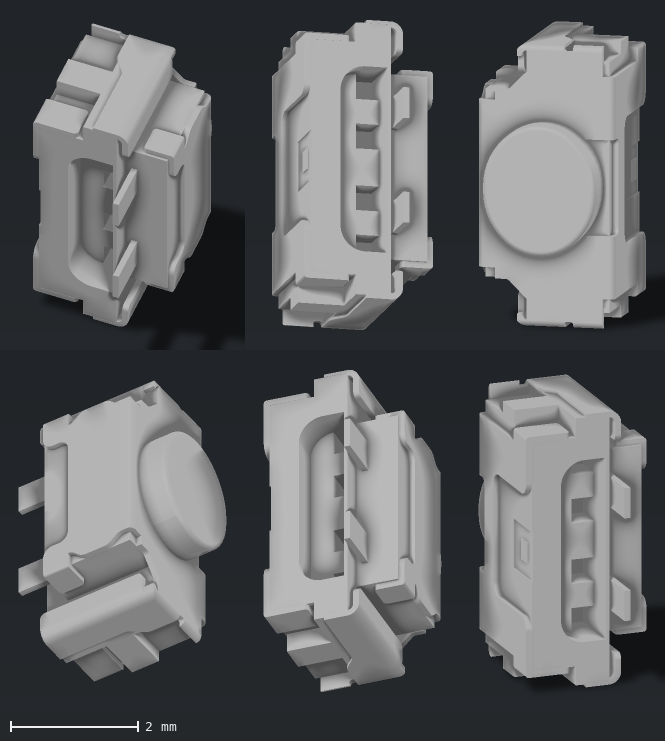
import cadquery as cq


SHEET = 0.1
WIDTH = 2.2
HEIGHT = 4.5
BODY_DEPTH = 2.0
PUSH_TRAVEL = 0.505
PIN_LENGTH = 0.4
COVER_LEAD = 0.005

HALF_HEIGHT = HEIGHT / 2
COVER_BACK = BODY_DEPTH + SHEET
EDGE_ROUND = 0.2
TAB_CORNER = 0.065
TAB_BEND = 0.05

BODY_LEFT = SHEET
BODY_RIGHT = 1.405
BODY_TOP = HALF_HEIGHT - SHEET / 2
STEP_RIGHT = WIDTH - SHEET
STEP_TOP = 1.5
STEP_FRONT = 0.4
POCKET_RIGHT = 0.84
FRONT_POCKET_FLOOR = 1.885
FRONT_POCKET_DEPTH = 0.75
REAR_POCKET_FLOOR = 2.0
REAR_POCKET_START = 1.25

CAVITY_LEFT = 0.59
CAVITY_RIGHT = 1.35
CAVITY_TOP = STEP_TOP
CAVITY_DEPTH = 0.525
CAVITY_CORNER = 0.4
CELL_LEFT = 0.97
CELL_HEIGHT = 0.4
CELL_DEPTH = 1.0
INNER_CELL_MIDDLE = 0.5
OUTER_CELL_MIDDLE = CAVITY_TOP - CELL_HEIGHT / 2

MARK_SINK = 0.022
MARK_DEPTH = 0.8
MARK_HEIGHT = 0.81
PAD_FRONT = 0.22
PAD_BACK = 0.475
PAD_HEIGHT = 0.34

LEFT_WALL_TOP = 1.77
LEFT_WINDOW_BACK = 1.4
LEFT_WINDOW_TOP = 1.012
LEFT_TAB_DEPTH = 0.53
LEFT_TAB_END = 0.74
BUTTON_NOTCH_TOP = 0.77
BUTTON_NOTCH_FRONT = 1.795
BUTTON_NOTCH_RIGHT = 0.485

RIGHT_TAB_FRONT = 0.44
RIGHT_TAB_BACK = 0.9
RIGHT_TAB_START = 1.688
RIGHT_WINDOW_TOP = 1.045
RIGHT_WINDOW_ROUND = 0.17
RIGHT_WALL_TOP = 1.508
RIGHT_NECK_TOP = 1.33
BUMP_START = 0.965
BUMP_END = 1.845
BUMP_RUN = 0.2

BACK_EDGE = 1.418
GUSSET_RISE = 0.3
RELIEF_START = 1.925
STUB_LEFT = 0.19
STUB_RIGHT = 0.665
STUB_ROUND = 0.04

PLATE_REAR_LEFT = 0.81
PLATE_FRONT_LEFT = 1.012
PLATE_SLOPE_BACK = 1.51
PLATE_SLOPE_FRONT = 1.255
ARM_RIGHT = BODY_RIGHT + EDGE_ROUND
ARM_END = 1.755
ARM_BACK = 1.9
ARM_CORNER = 0.095
CURL_REAR_RIGHT = 1.57

BUTTON_MIDDLE = WIDTH / 2
BUTTON_HALF_WIDTH = 0.91
BUTTON_FLAT = 0.045
BUTTON_JOIN_X = 0.495
BUTTON_JOIN_Z = 0.878
BUTTON_ROUND = 0.075

PIN_MIDDLE = 0.845
PIN_HEIGHT = 0.5

SELECT_MARGIN = 0.022


def block(x0, x1, y0, y1, z0, z1):
    """Box between two opposite corners."""
    return cq.Workplane("XY").box(x1 - x0, y1 - y0, z1 - z0, centered=False).translate((x0, y0, z0))


def both_ends(shape):
    """Shape together with its mirror image below Z = 0."""
    return shape.union(shape.mirror("XY"))


def along_x(x0):
    """Sketch plane at x0 for Y-Z outlines."""
    return cq.Workplane("YZ", origin=(x0, 0, 0))


def along_y(y0):
    """Sketch plane at y0 for X-Z outlines; a negative extrusion goes toward +Y."""
    return cq.Workplane("XZ", origin=(0, y0, 0))


def edges_between(low, high):
    """Selector for the edges centred within the box between two corners, grown a little."""
    grown_low = tuple(value - SELECT_MARGIN for value in low)
    grown_high = tuple(value + SELECT_MARGIN for value in high)
    return cq.selectors.BoxSelector(grown_low, grown_high)


def front_cavity():
    cavity = block(CAVITY_LEFT, CAVITY_RIGHT, 0, CAVITY_DEPTH, -CAVITY_TOP, CAVITY_TOP)
    cavity = cavity.edges("|Y and <X").fillet(CAVITY_CORNER)
    for middle in (INNER_CELL_MIDDLE, OUTER_CELL_MIDDLE):
        bottom = middle - CELL_HEIGHT / 2
        cell = block(CELL_LEFT, CAVITY_RIGHT, 0, CELL_DEPTH, bottom, bottom + CELL_HEIGHT)
        cavity = cavity.union(both_ends(cell))
    return cavity


def housing():
    body = block(BODY_LEFT, BODY_RIGHT, COVER_LEAD, BODY_DEPTH, -BODY_TOP, BODY_TOP)
    body = body.union(block(BODY_RIGHT, STEP_RIGHT, STEP_FRONT, BODY_DEPTH, -STEP_TOP, STEP_TOP))
    front_pocket = block(BODY_LEFT, POCKET_RIGHT, 0, FRONT_POCKET_DEPTH, FRONT_POCKET_FLOOR, HALF_HEIGHT)
    rear_pocket = block(
        BODY_LEFT, POCKET_RIGHT, REAR_POCKET_START, BODY_DEPTH, REAR_POCKET_FLOOR, HALF_HEIGHT
    )
    body = body.cut(both_ends(front_pocket)).cut(both_ends(rear_pocket)).cut(front_cavity())
    mark_right = BODY_LEFT + MARK_SINK
    mark = block(BODY_LEFT, mark_right, 0, MARK_DEPTH, -MARK_HEIGHT / 2, MARK_HEIGHT / 2)
    pad = block(BODY_LEFT, mark_right, PAD_FRONT, PAD_BACK, -PAD_HEIGHT / 2, PAD_HEIGHT / 2)
    return body.cut(mark.cut(pad))


def flared_window(x0, x1, front, back, top, radius):
    """Window open to the front, with round inner corners and a flared mouth."""
    outline = (
        along_x(x0)
        .moveTo(front, -top - radius)
        .radiusArc((front + radius, -top), radius)
        .lineTo(back - radius, -top)
        .radiusArc((back, -top + radius), -radius)
        .lineTo(back, top - radius)
        .radiusArc((back - radius, top), -radius)
        .lineTo(front + radius, top)
        .radiusArc((front, top + radius), radius)
        .close()
    )
    return outline.extrude(x1 - x0)


def folded_strip(x0, x1, y0, y1, half_height, outer_edges, tab_edges):
    """Solid envelope of a side wall whose top and bottom ends fold inward as tabs."""
    strip = block(x0, x1, y0, y1, -half_height, half_height)
    return strip.edges(outer_edges).fillet(TAB_BEND).edges(tab_edges).fillet(TAB_CORNER)


def left_wall():
    wall = block(0, SHEET, 0, COVER_BACK, -LEFT_WALL_TOP, LEFT_WALL_TOP)
    tab_top = FRONT_POCKET_FLOOR + SHEET
    strip = folded_strip(0, LEFT_TAB_END, 0, LEFT_TAB_DEPTH, tab_top, "|Y and <X", "|Z and >X")
    inside = block(SHEET, LEFT_TAB_END, 0, LEFT_TAB_DEPTH, -FRONT_POCKET_FLOOR, FRONT_POCKET_FLOOR)
    window = flared_window(0, SHEET, 0, LEFT_WINDOW_BACK, LEFT_WINDOW_TOP, EDGE_ROUND)
    return wall.union(strip.cut(inside)).cut(window)


def right_wall():
    upper_half = (
        along_x(STEP_RIGHT)
        .moveTo(RIGHT_TAB_FRONT, 0)
        .lineTo(RIGHT_TAB_FRONT, RIGHT_NECK_TOP)
        .lineTo(BUMP_START, RIGHT_NECK_TOP)
        .lineTo(BUMP_START + BUMP_RUN, RIGHT_WALL_TOP)
        .lineTo(BUMP_END - BUMP_RUN, RIGHT_WALL_TOP)
        .lineTo(BUMP_END, RIGHT_NECK_TOP)
        .lineTo(COVER_BACK, RIGHT_NECK_TOP)
        .lineTo(COVER_BACK, 0)
        .close()
        .extrude(SHEET)
    )
    bump = edges_between((STEP_RIGHT, BUMP_START, RIGHT_NECK_TOP), (WIDTH, BUMP_END, RIGHT_WALL_TOP))
    upper_half = upper_half.edges("|X").edges(bump).fillet(EDGE_ROUND)
    tab_top = STEP_TOP + SHEET
    strip = folded_strip(
        RIGHT_TAB_START, WIDTH, RIGHT_TAB_FRONT, RIGHT_TAB_BACK, tab_top, "|Y and >X", "|Z and <X"
    )
    inside = block(RIGHT_TAB_START, STEP_RIGHT, RIGHT_TAB_FRONT, RIGHT_TAB_BACK, -STEP_TOP, STEP_TOP)
    window = flared_window(
        STEP_RIGHT, WIDTH, RIGHT_TAB_FRONT, RIGHT_TAB_BACK, RIGHT_WINDOW_TOP, RIGHT_WINDOW_ROUND
    )
    return both_ends(upper_half).union(strip.cut(inside)).cut(window)


def back_wall():
    gusset_right = BACK_EDGE + GUSSET_RISE
    notch_floor = HALF_HEIGHT - SHEET
    upper_half = (
        along_y(BODY_DEPTH)
        .moveTo(0, 0)
        .lineTo(0, LEFT_WALL_TOP)
        .lineTo(STUB_LEFT, LEFT_WALL_TOP)
        .lineTo(STUB_LEFT, HALF_HEIGHT)
        .lineTo(STUB_RIGHT, HALF_HEIGHT)
        .lineTo(STUB_RIGHT, notch_floor)
        .lineTo(PLATE_REAR_LEFT, notch_floor)
        .lineTo(PLATE_REAR_LEFT, HALF_HEIGHT)
        .lineTo(BACK_EDGE, HALF_HEIGHT)
        .lineTo(BACK_EDGE, RIGHT_WALL_TOP + GUSSET_RISE)
        .lineTo(gusset_right, RIGHT_WALL_TOP)
        .lineTo(RELIEF_START, RIGHT_WALL_TOP)
        .lineTo(RELIEF_START, RIGHT_NECK_TOP)
        .lineTo(WIDTH, RIGHT_NECK_TOP)
        .lineTo(WIDTH, 0)
        .close()
        .extrude(-SHEET)
    )
    notch_corners = edges_between(
        (STUB_RIGHT, BODY_DEPTH, notch_floor), (PLATE_REAR_LEFT, COVER_BACK, notch_floor)
    )
    gusset_corner = edges_between(
        (gusset_right, BODY_DEPTH, RIGHT_WALL_TOP), (gusset_right, COVER_BACK, RIGHT_WALL_TOP)
    )
    upper_half = upper_half.edges("|Y").edges(notch_corners).fillet(STUB_ROUND)
    upper_half = upper_half.edges("|Y").edges(gusset_corner).fillet(SHEET)
    return both_ends(upper_half)


def end_plate():
    """Upper plate: flat over the housing, then curled round into an arm on the right."""
    bend_z = HALF_HEIGHT - EDGE_ROUND
    inner_top = HALF_HEIGHT - SHEET
    bend_inner = EDGE_ROUND - SHEET
    plate = (
        along_y(0)
        .moveTo(PLATE_REAR_LEFT, HALF_HEIGHT)
        .lineTo(BODY_RIGHT, HALF_HEIGHT)
        .radiusArc((ARM_RIGHT, bend_z), EDGE_ROUND)
        .lineTo(ARM_RIGHT, ARM_END)
        .lineTo(ARM_RIGHT - SHEET, ARM_END)
        .lineTo(ARM_RIGHT - SHEET, bend_z)
        .radiusArc((BODY_RIGHT, inner_top), -bend_inner)
        .lineTo(BODY_RIGHT, BODY_TOP)
        .lineTo(PLATE_REAR_LEFT, BODY_TOP)
        .close()
        .extrude(-COVER_BACK)
    )
    plate = plate.cut(block(CURL_REAR_RIGHT, ARM_RIGHT, ARM_BACK, COVER_BACK, ARM_END, HALF_HEIGHT))
    plate = plate.cut(block(BODY_RIGHT, ARM_RIGHT, ARM_BACK, COVER_BACK, ARM_END, bend_z))
    plate = plate.edges("|X and <Z").fillet(ARM_CORNER)
    corner_cut = (
        cq.Workplane("XY", origin=(0, 0, BODY_TOP))
        .moveTo(PLATE_REAR_LEFT, 0)
        .lineTo(PLATE_FRONT_LEFT, 0)
        .lineTo(PLATE_FRONT_LEFT, PLATE_SLOPE_FRONT)
        .lineTo(PLATE_REAR_LEFT, PLATE_SLOPE_BACK)
        .close()
        .extrude(HALF_HEIGHT - BODY_TOP)
    )
    plate = plate.cut(corner_cut)
    slope_ends = edges_between(
        (PLATE_REAR_LEFT, PLATE_SLOPE_FRONT, BODY_TOP), (PLATE_FRONT_LEFT, PLATE_SLOPE_BACK, HALF_HEIGHT)
    )
    return plate.edges("|Z").edges(slope_ends).fillet(EDGE_ROUND)


def cover():
    shell = left_wall().union(right_wall()).union(back_wall()).union(both_ends(end_plate()))
    notch = block(0, BUTTON_NOTCH_RIGHT, BUTTON_NOTCH_FRONT, COVER_BACK, -BUTTON_NOTCH_TOP, BUTTON_NOTCH_TOP)
    shell = shell.cut(notch.edges("|X and <Y").fillet(SHEET))
    envelope = block(0, WIDTH, 0, COVER_BACK, -HALF_HEIGHT, HALF_HEIGHT)
    side_bends = envelope.edges("|Z and >Y").fillet(SHEET)
    end_bends = envelope.edges("|X and >Y").fillet(SHEET)
    return shell.intersect(side_bends).intersect(end_bends)


def button():
    cap = (
        cq.Workplane("XZ", origin=(BUTTON_MIDDLE, BODY_DEPTH, 0))
        .moveTo(-BUTTON_HALF_WIDTH, -BUTTON_FLAT)
        .lineTo(-BUTTON_HALF_WIDTH, BUTTON_FLAT)
        .tangentArcPoint((-BUTTON_JOIN_X, BUTTON_JOIN_Z), relative=False)
        .tangentArcPoint((BUTTON_JOIN_X, BUTTON_JOIN_Z), relative=False)
        .tangentArcPoint((BUTTON_HALF_WIDTH, BUTTON_FLAT), relative=False)
        .lineTo(BUTTON_HALF_WIDTH, -BUTTON_FLAT)
        .tangentArcPoint((BUTTON_JOIN_X, -BUTTON_JOIN_Z), relative=False)
        .tangentArcPoint((-BUTTON_JOIN_X, -BUTTON_JOIN_Z), relative=False)
        .tangentArcPoint((-BUTTON_HALF_WIDTH, -BUTTON_FLAT), relative=False)
        .close()
        .extrude(-SHEET - PUSH_TRAVEL)
    )
    return cap.faces(">Y").edges().fillet(BUTTON_ROUND)


def pins():
    bottom = PIN_MIDDLE - PIN_HEIGHT / 2
    pin = block(ARM_RIGHT - SHEET, ARM_RIGHT, -PIN_LENGTH, STEP_FRONT, bottom, bottom + PIN_HEIGHT)
    return both_ends(pin)


result = housing().union(cover()).union(button()).union(pins())